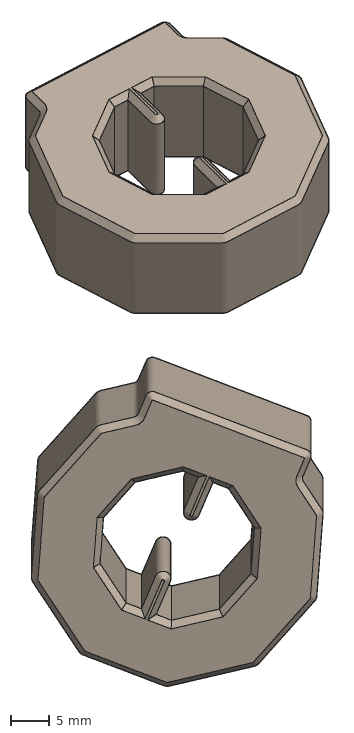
import cadquery as cq
import math

outer_height = 39.4
thickness = 15.0
sides = 10
tolerance = 0.05
half_sector = math.pi / sides

corner_radius = 1.3
block_radius = 0.9
edge_chamfer = 0.85

corner_loss = corner_radius * (1 / math.cos(half_sector) - 1)
outer_corner_radius = outer_height / 2 + corner_loss
outer_apothem = outer_corner_radius * math.cos(half_sector)
bore_apothem = 9.93

block_width = 23.32
block_length = outer_apothem / 2

rib_width = 2.1
rib_gap = 7.88


def decagon_prism(apothem):
    """Upright decagonal prism with corners on the Y axis."""
    diameter = 2 * apothem / math.cos(half_sector)
    return (
        cq.Workplane("XY")
        .transformed(rotate=(0, 0, 90))
        .polygon(sides, diameter)
        .extrude(thickness)
    )


def body():
    """Decagon joined to the block, with every outer upright edge rounded."""
    block = (
        cq.Workplane("XY")
        .box(block_length, block_width, thickness, centered=(False, True, False))
        .translate((-outer_apothem, 0, 0))
    )
    rounded_decagon = decagon_prism(outer_apothem).edges("|Z").fillet(corner_radius)
    block_edges = cq.selectors.BoxSelector(
        (-2 * outer_apothem, -block_width / 2 - tolerance, 0),
        (0, block_width / 2 + tolerance, thickness),
    )
    return rounded_decagon.union(block).clean().edges("|Z").edges(block_edges).fillet(block_radius)


def rib(side):
    """Full-height rib with a round nose; side is +1 for +X and -1 for -X."""
    nose_center = rib_gap / 2 + rib_width / 2
    root = (bore_apothem + outer_apothem) / 2
    straight = (
        cq.Workplane("XY")
        .center(side * (nose_center + root) / 2, 0)
        .rect(root - nose_center, rib_width)
        .extrude(thickness)
    )
    nose = cq.Workplane("XY").center(side * nose_center, 0).circle(rib_width / 2).extrude(thickness)
    return straight.union(nose)


ring = body().cut(decagon_prism(bore_apothem))
for side in (-1, 1):
    ring = ring.union(rib(side))

result = ring.clean().faces("<Z or >Z").edges().chamfer(edge_chamfer)